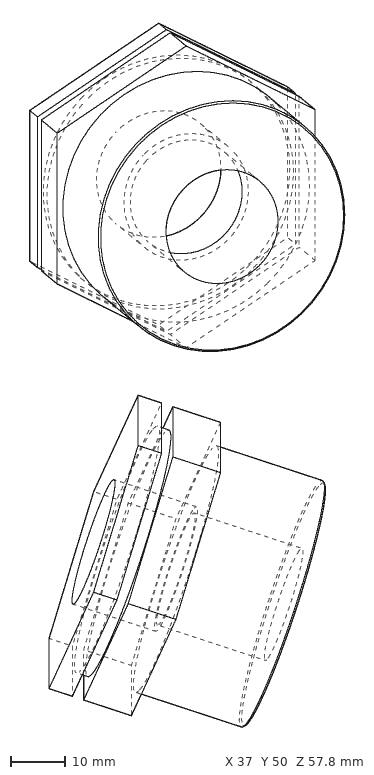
import cadquery as cq

hex_corners = 57.75
flange_thickness = 4.55
groove_width = 2.2
nut_thickness = 9.3

length = 37.0
body_diameter = 47.8
end_chamfer = 0.35
entry_diameter = 24.15
throat_diameter = 21.7
entry_depth = flange_thickness + groove_width + nut_thickness


def hexagon(start, thickness):
    """Hexagonal plate across the X axis, with two corners on the Z axis."""
    plate = cq.Workplane("YZ").polygon(6, hex_corners).extrude(thickness)
    return plate.rotate((0, 0, 0), (1, 0, 0), 90).translate((start, 0, 0))


def cylinder(start, end, diameter):
    """Round bar along the X axis."""
    return cq.Workplane("YZ", origin=(start, 0, 0)).circle(diameter / 2).extrude(end - start)


body = cylinder(0, length, body_diameter).faces(">X").edges().chamfer(end_chamfer)
flange = hexagon(0, flange_thickness)
nut = hexagon(flange_thickness + groove_width, nut_thickness)

entry = cylinder(0, entry_depth, entry_diameter)
throat = cylinder(0, length, throat_diameter)

result = body.union(flange).union(nut).cut(entry).cut(throat)